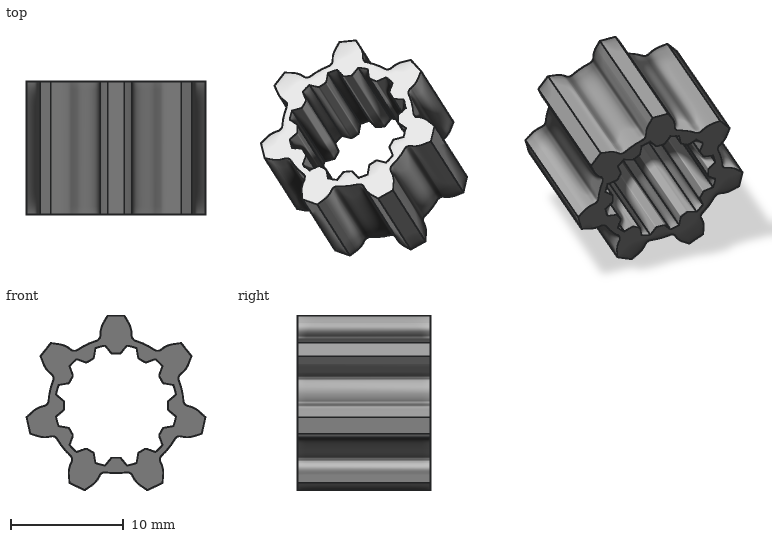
import cadquery as cq
import math

LENGTH = 11.8

OUTER_TEETH = 7
TIP_HEIGHT = 7.965
TIP_SLOPE = math.radians(30)
FLANK_RADIUS = 2.0
FLANK_FOOT_HEIGHT = 6.32
TOOTH_HALF_WIDTH = 1.39
ROOT_RADIUS = 6.0
ROOT_FILLET = 0.5

INNER_TEETH = 12
INNER_FLAT_RADIUS = 4.6
INNER_FLAT_HALF_WIDTH = 0.385
INNER_ROOT_RADIUS = 5.39
INNER_BASE_HALF_WIDTH = 0.97
INNER_TIP_FILLET = 0.2


def turn(point, degrees):
    """Turn a profile point clockwise about the sleeve axis."""
    angle = math.radians(degrees)
    across, up = point
    return (
        across * math.cos(angle) + up * math.sin(angle),
        up * math.cos(angle) - across * math.sin(angle),
    )


def mirror(point):
    """Mirror a profile point in the centreline of the upright tooth."""
    return (-point[0], point[1])


def height_on_circle(radius, across):
    return math.sqrt(radius**2 - across**2)


def flank_arc_point(angle):
    """Point of the bulging flank, turned by the given angle up from its upright foot."""
    return (
        TOOTH_HALF_WIDTH - FLANK_RADIUS * (1 - math.cos(angle)),
        FLANK_FOOT_HEIGHT + FLANK_RADIUS * math.sin(angle),
    )


def outer_profile():
    """Toothed outline: flat tips, sloping tip sides, bulging flanks and filleted roots."""
    foot = flank_arc_point(0)
    flank_mid = flank_arc_point(TIP_SLOPE / 2)
    shoulder = flank_arc_point(TIP_SLOPE)
    tip_half_width = shoulder[0] - (TIP_HEIGHT - shoulder[1]) * math.tan(TIP_SLOPE)
    tip = (tip_half_width, TIP_HEIGHT)

    fillet_across = TOOTH_HALF_WIDTH + ROOT_FILLET
    fillet_up = height_on_circle(ROOT_RADIUS + ROOT_FILLET, fillet_across)
    fillet_start = (TOOTH_HALF_WIDTH, fillet_up)
    shrink = ROOT_RADIUS / (ROOT_RADIUS + ROOT_FILLET)
    fillet_end = (fillet_across * shrink, fillet_up * shrink)
    fillet_sweep = math.atan2(fillet_up, fillet_across)
    fillet_mid = (
        fillet_across - ROOT_FILLET * math.cos(fillet_sweep / 2),
        fillet_up - ROOT_FILLET * math.sin(fillet_sweep / 2),
    )

    pitch = 360 / OUTER_TEETH
    root_mid = turn((0, ROOT_RADIUS), pitch / 2)
    profile = cq.Workplane("XZ").moveTo(*mirror(tip))
    for tooth in range(OUTER_TEETH):
        here = tooth * pitch
        following = here + pitch
        profile = (
            profile.lineTo(*turn(tip, here))
            .lineTo(*turn(shoulder, here))
            .threePointArc(turn(flank_mid, here), turn(foot, here))
            .lineTo(*turn(fillet_start, here))
            .threePointArc(turn(fillet_mid, here), turn(fillet_end, here))
            .threePointArc(turn(root_mid, here), turn(mirror(fillet_end), following))
            .threePointArc(turn(mirror(fillet_mid), following), turn(mirror(fillet_start), following))
            .lineTo(*turn(mirror(foot), following))
            .threePointArc(turn(mirror(flank_mid), following), turn(mirror(shoulder), following))
            .lineTo(*turn(mirror(tip), following))
        )
    return profile.close()


def inner_profile():
    """Splined bore outline: flat-topped teeth with straight flanks and round roots."""
    flat_end = (INNER_FLAT_HALF_WIDTH, INNER_FLAT_RADIUS)
    base = (INNER_BASE_HALF_WIDTH, height_on_circle(INNER_ROOT_RADIUS, INNER_BASE_HALF_WIDTH))

    pitch = 360 / INNER_TEETH
    root_mid = turn((0, INNER_ROOT_RADIUS), pitch / 2)
    profile = cq.Workplane("XZ").moveTo(*mirror(flat_end))
    for tooth in range(INNER_TEETH):
        here = tooth * pitch
        following = here + pitch
        profile = (
            profile.lineTo(*turn(flat_end, here))
            .lineTo(*turn(base, here))
            .threePointArc(turn(root_mid, here), turn(mirror(base), following))
            .lineTo(*turn(mirror(flat_end), following))
        )
    return profile.close()


def is_tip_corner(edge):
    """Tell the corners of the spline's tooth tops from its root corners."""
    centre = edge.Center()
    return math.hypot(centre.x, centre.z) < (INNER_FLAT_RADIUS + INNER_ROOT_RADIUS) / 2


def splined_bore():
    bore = inner_profile().extrude(LENGTH / 2, both=True)
    return bore.edges("|Y").filter(is_tip_corner).fillet(INNER_TIP_FILLET)


gear = outer_profile().extrude(LENGTH / 2, both=True)
result = gear.cut(splined_bore())